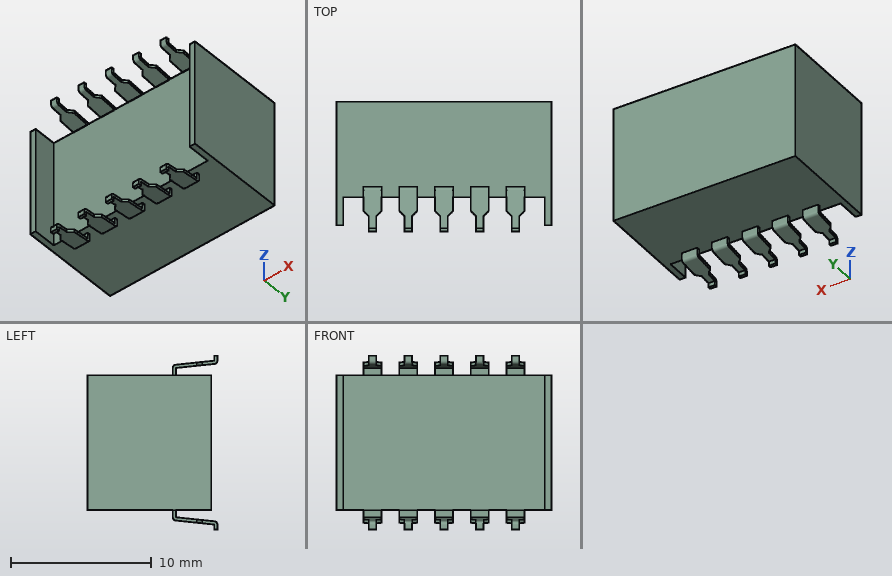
import cadquery as cq
import math

overall_depth = 9.24
overall_height = 12.35

body_length = 15.3
body_depth = 8.8
body_height = 9.6
end_wall = 0.5
recess_depth = 2.0

lead_count = 5
lead_pitch = 2.54
lead_thickness = 0.25
bend_radius = 0.25
lead_slope = math.radians(6)
lead_reach = 3.19
shank_height = 0.72
pad_width = 1.3
neck_width = 0.55
neck_length = 1.1

body_back = overall_depth / 2
body_front = body_back - body_depth
body_top = body_height / 2
tip_front = -overall_depth / 2
tip_top = overall_height / 2


def make_body():
    block = cq.Workplane("XY").box(body_length, body_depth, body_height)
    block = block.translate((0, body_back - body_depth / 2, 0))
    recess = cq.Workplane("XY").box(body_length - 2 * end_wall, recess_depth, body_height)
    recess = recess.translate((0, body_front + recess_depth / 2, 0))
    return block.cut(recess)


def lead_side_profile():
    """Bent strip in the YZ plane: upright shank, sloping arm and upturned tip."""
    shank_back = tip_front + lead_reach
    shank_front = shank_back - lead_thickness
    tip_back = tip_front + lead_thickness
    arm_height = lead_thickness / math.cos(lead_slope)

    def arm_top(y):
        return body_top + shank_height + (shank_back - y) * math.tan(lead_slope)

    def arm_bottom(y):
        return arm_top(y) - arm_height

    tangent = bend_radius * math.tan((math.pi / 2 - lead_slope) / 2)
    along_y = tangent * math.cos(lead_slope)
    mid_angle = (math.pi / 2 - lead_slope) / 2
    arc_mid_y = bend_radius * (1 - math.cos(mid_angle))
    arc_mid_z = tangent - bend_radius * math.sin(mid_angle)
    shank_corner = arm_top(shank_back)
    tip_corner = arm_bottom(tip_front)

    return (
        cq.Workplane("YZ")
        .moveTo(shank_front, body_top)
        .lineTo(shank_back, body_top)
        .lineTo(shank_back, shank_corner - tangent)
        .threePointArc(
            (shank_back - arc_mid_y, shank_corner - arc_mid_z),
            (shank_back - along_y, arm_top(shank_back - along_y)),
        )
        .lineTo(tip_back, arm_top(tip_back))
        .lineTo(tip_back, tip_top)
        .lineTo(tip_front, tip_top)
        .lineTo(tip_front, tip_corner + tangent)
        .threePointArc(
            (tip_front + arc_mid_y, tip_corner + arc_mid_z),
            (tip_front + along_y, arm_bottom(tip_front + along_y)),
        )
        .lineTo(shank_front, arm_bottom(shank_front))
        .close()
    )


def make_lead():
    """One upper lead at X = 0: the bent strip trimmed to a wide pad and a narrow neck."""
    strip = lead_side_profile().extrude(pad_width / 2, both=True)
    half_pad = pad_width / 2
    half_neck = neck_width / 2
    neck_end = tip_front + neck_length
    pad_start = neck_end + (half_pad - half_neck)
    plan = (
        cq.Workplane("XY")
        .polyline([
            (half_neck, tip_front),
            (half_neck, neck_end),
            (half_pad, pad_start),
            (half_pad, tip_front + lead_reach),
            (-half_pad, tip_front + lead_reach),
            (-half_pad, pad_start),
            (-half_neck, neck_end),
            (-half_neck, tip_front),
        ])
        .close()
        .extrude(tip_top)
    )
    return strip.intersect(plan)


def make_part():
    part = make_body()
    upper_lead = make_lead()
    lower_lead = upper_lead.mirror("XY")
    for index in range(lead_count):
        x = (index - (lead_count - 1) / 2) * lead_pitch
        part = part.union(upper_lead.translate((x, 0, 0)))
        part = part.union(lower_lead.translate((x, 0, 0)))
    return part


result = make_part()